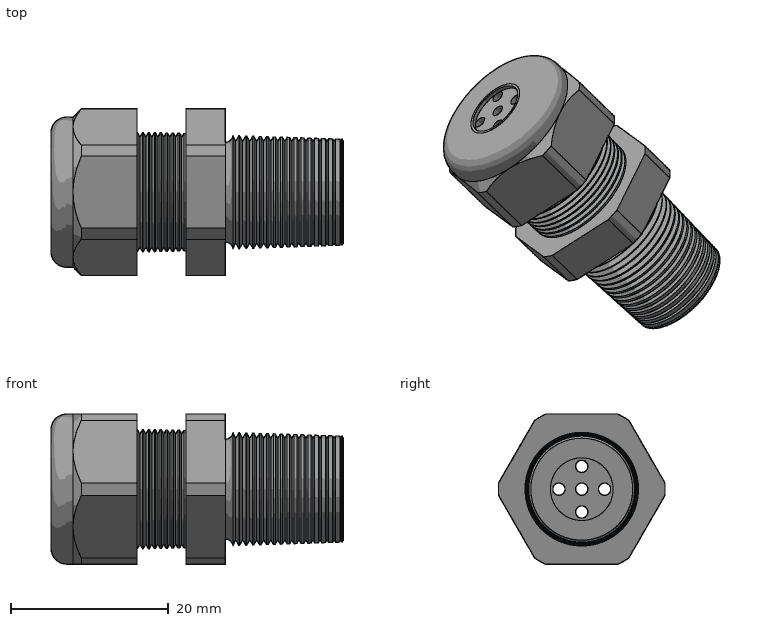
import cadquery as cq
import math

total_length = 37.08
nut_end = 10.95
flange_start = 17.1
flange_end = 22.1

hexagon_sides = 6
across_flats = 19.05
corner_radius = 10.55

dome_radius = across_flats / 2
dome_fillet = 2.05
dome_end = 2.8
cone_end = dome_end + corner_radius - dome_radius

nut_thread_first_groove = 11.27
nut_thread_last_groove = 16.57
nut_thread_grooves = 8
nut_thread_pitch = (nut_thread_last_groove - nut_thread_first_groove) / (nut_thread_grooves - 1)
nut_thread_root = 7.0
nut_thread_start_crest = 7.6
nut_thread_end_crest = 7.45

neck_radius = 6.35
neck_curve = 0.95
pipe_thread_first_groove = 23.4
pipe_thread_pitch = 0.9
pipe_thread_grooves = 16
pipe_thread_root = 6.45
pipe_thread_start_crest = 7.23
pipe_thread_end_crest = 6.7
end_chamfer = 0.25

groove_half_angle = 30.0

insert_radius = 3.95
insert_length = nut_end
recess_radius = 3.65
recess_depth = 0.5
cable_hole_diameter = 1.52
cable_hole_offset = 2.9


def hexagon(start, end):
    """Hexagonal prism along X with flats facing +Z and -Z and corners turned to a radius."""
    across_corners = across_flats / math.cos(math.pi / hexagon_sides)
    length = end - start
    plane = cq.Workplane("YZ", origin=(start, 0, 0))
    prism = plane.polygon(hexagon_sides, across_corners).extrude(length)
    return prism.intersect(plane.circle(corner_radius).extrude(length))


def thread_points(start, end, start_crest, end_crest, first_groove, pitch, count, root):
    """Points (x, radius) of a row of ring-shaped V grooves cut to one root under a tapered crest."""
    def crest(x):
        return start_crest + (end_crest - start_crest) * (x - start) / (end - start)

    points = []
    for i in range(count):
        x = first_groove + i * pitch
        half_width = (crest(x) - root) * math.tan(math.radians(groove_half_angle))
        left = x - half_width
        right = x + half_width
        points += [(left, crest(left)), (x, root), (right, crest(right))]
    return points


def dome_nut():
    """Hexagonal nut with a conical front chamfer that runs into a rounded dome."""
    envelope = (
        cq.Workplane("XZ")
        .lineTo(0, dome_radius - dome_fillet)
        .radiusArc((dome_fillet, dome_radius), dome_fillet)
        .lineTo(dome_end, dome_radius)
        .lineTo(cone_end, corner_radius)
        .lineTo(nut_end, corner_radius)
        .lineTo(nut_end, 0)
        .close()
        .revolve(360, (0, 0, 0), (1, 0, 0))
    )
    return envelope.intersect(hexagon(0, nut_end))


def nut_thread():
    """Thread between the nut and the flange."""
    points = thread_points(
        nut_end, flange_start, nut_thread_start_crest, nut_thread_end_crest,
        nut_thread_first_groove, nut_thread_pitch, nut_thread_grooves, nut_thread_root,
    )
    return (
        cq.Workplane("XZ")
        .moveTo(nut_end, 0)
        .lineTo(nut_end, nut_thread_start_crest)
        .polyline(points, includeCurrent=True)
        .lineTo(flange_start, nut_thread_end_crest)
        .lineTo(flange_start, 0)
        .close()
        .revolve(360, (0, 0, 0), (1, 0, 0))
    )


def pipe_thread():
    """Neck and tapered thread behind the flange, with a chamfered end."""
    points = thread_points(
        flange_end, total_length, pipe_thread_start_crest, pipe_thread_end_crest,
        pipe_thread_first_groove, pipe_thread_pitch, pipe_thread_grooves, pipe_thread_root,
    )
    curve_end_radius = points[0][1]
    rise = curve_end_radius - neck_radius
    curve_end = flange_end + math.sqrt(neck_curve**2 - (neck_curve - rise) ** 2)
    return (
        cq.Workplane("XZ")
        .moveTo(flange_end, 0)
        .lineTo(flange_end, neck_radius)
        .radiusArc((curve_end, curve_end_radius), -neck_curve)
        .polyline(points[1:], includeCurrent=True)
        .lineTo(total_length - end_chamfer, pipe_thread_end_crest)
        .lineTo(total_length, pipe_thread_end_crest - end_chamfer)
        .lineTo(total_length, 0)
        .close()
        .revolve(360, (0, 0, 0), (1, 0, 0))
    )


def make_gland():
    """Nut, threads and flange with a straight bore for the insert and the cables."""
    bore = cq.Workplane("YZ").circle(insert_radius).extrude(total_length)
    return (
        dome_nut()
        .union(nut_thread())
        .union(hexagon(flange_start, flange_end))
        .union(pipe_thread())
        .cut(bore)
    )


def make_insert():
    """Plug with a shallow front recess, one central and four outer cable holes."""
    plug = cq.Workplane("YZ").circle(insert_radius).extrude(insert_length)
    recess = cq.Workplane("YZ").circle(recess_radius).extrude(recess_depth)
    hole_centres = [
        (0, 0),
        (cable_hole_offset, 0),
        (-cable_hole_offset, 0),
        (0, cable_hole_offset),
        (0, -cable_hole_offset),
    ]
    cable_holes = (
        cq.Workplane("YZ", origin=(recess_depth, 0, 0))
        .pushPoints(hole_centres)
        .circle(cable_hole_diameter / 2)
        .extrude(insert_length - recess_depth)
    )
    return plug.cut(recess).cut(cable_holes)


gland = make_gland()
insert = make_insert()

result = cq.Compound.makeCompound([gland.val(), insert.val()])